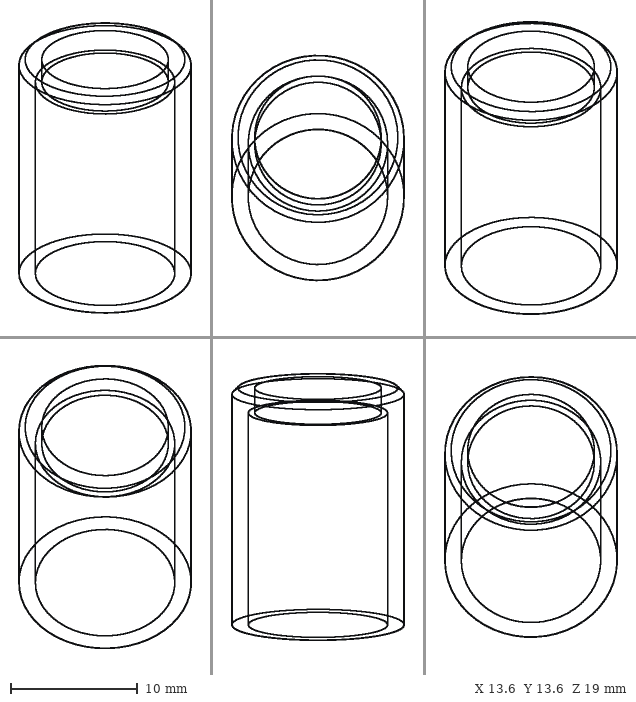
import cadquery as cq

length = 19.0
outer_diameter = 13.6
mouth_diameter = 10.0
bore_diameter = 11.0
mouth_depth = 2.0
chamfer_size = 0.5

body = cq.Workplane("XY").circle(outer_diameter / 2).extrude(length)
body = body.faces(">Z").edges().chamfer(chamfer_size)

mouth = cq.Workplane("XY").circle(mouth_diameter / 2).extrude(length)

bore = cq.Workplane("XY").circle(bore_diameter / 2).extrude(length - mouth_depth)

result = body.cut(mouth).cut(bore)